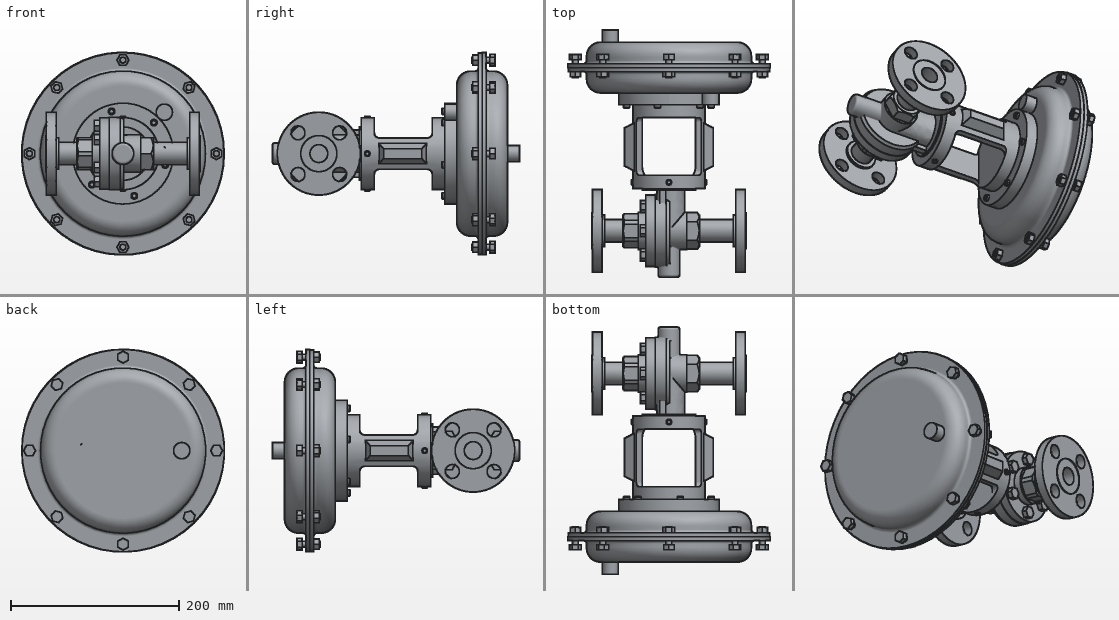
import cadquery as cq
import math


casing_mid_y = 194.2
casing_half_height = 30.3
casing_radius = 98.3
crown_radius = 17.0
rim_fillet = 3.5
rim_radius = 120.5
lower_rim_radius = 120.0
rim_thickness = 4.7
port_radius = 9.7
port_offset = 69.7
lower_port_angle = 45
upper_port_end_y = 239.0
overall_length = 294.3

casing_bolt_count = 8
casing_bolt_circle = 111.2
casing_bolt_flats = 12.5
shank_radius = 3.5
head_height = 6.2
head_gap = 4.7
nut_height = 6.5
tip_length = 1.0

plate_radius = 60.0
plate_bottom_y = 149.8
screw_count = 6
screw_circle = 52.0
first_screw_angle = 45
screw_radius = 3.8
screw_height = 3.8
screw_chamfer = 1.2

yoke_radius = 43.0
yoke_bottom_y = 50.3
window_top_y = 134.8
window_bottom_y = 66.2
window_half_width = 31.5
window_foot_half_width = 28.5
window_foot_height = 10.3
column_half_depth = 18.8
column_fillet = 5.5
pad_tip_x = 53.0
pad_base_x = 41.0
pad_mid_y = 99.8
pad_base_size = (57.7, 24.7)
pad_tip_size = (45.3, 11.8)
set_screw_y = 57.7
set_screw_radius = 3.2
set_screw_chamfer = 1.0
set_screw_tip = 44.7

collar_radius = 31.8
collar_bottom_y = 48.3
neck_half_width = 19.0
shoulder_right_x = -3.5
shoulder_corner_x = -10.5
shoulder_left_x = -14.5
shoulder_half_depth = 28.2
shoulder_left_half_depth = 22.5

body_radius = 43.3
cover_radius = 42.7
cover_left_x = -27.7
joint_x = -16.5
bevel_start_x = -3.0
body_right_x = 1.2
bevel_end_radius = 41.0
barrel_radius = 22.5
barrel_left_x = -36.5
barrel_right_x = 21.2
cover_bolt_count = 6
cover_bolt_circle = 33.3
first_cover_bolt_angle = 30
cover_bolt_flats = 12.7
cover_bolt_height = 6.2
stub_radius = 13.0
stub_end_y = upper_port_end_y - overall_length
stub_rounding = 3.2
stub_joint_fillet = 1.2
shoulder_joint_fillet = 1.2

nut_flats = 38.0
inlet_nut_corners = 41.0
inlet_nut_left_x = -54.7
outlet_nut_right_x = 36.5
nut_bevel_length = 3.0
nut_bevel_end_radius = 18.2

pipe_radius = 13.5
bore_radius = 10.5
hub_radius = 18.8
hub_start = 76.5
flange_start = 79.5
flange_end = 91.0
raised_face_end = 91.8
flange_radius = 49.5
raised_face_radius = 21.5
flange_hole_radius = 8.2
flange_hole_offset = 24.7

overlap = 3.0

CORNER_RADIUS_PER_FLATS = 1 / math.sqrt(3)


def x_cylinder(radius, start, end, y=0, z=0):
    solid = cq.Solid.makeCylinder(radius, end - start, cq.Vector(start, y, z), cq.Vector(1, 0, 0))
    return cq.Workplane(obj=solid)


def y_cylinder(radius, bottom, top, x=0, z=0):
    solid = cq.Solid.makeCylinder(radius, top - bottom, cq.Vector(x, bottom, z), cq.Vector(0, 1, 0))
    return cq.Workplane(obj=solid)


def hexagon(flats, start, length, corner_direction, axis):
    """Hexagonal prism on the line through start, with one corner along corner_direction."""
    plane = cq.Plane(origin=start, xDir=corner_direction, normal=axis)
    return cq.Workplane(plane).polygon(6, 2 * flats * CORNER_RADIUS_PER_FLATS).extrude(length)


def polar(radius, index, count, first_angle=0):
    """Place number index out of count evenly spaced on a circle; first_angle is in degrees."""
    angle = math.radians(first_angle) + 2 * math.pi * index / count
    return radius * math.cos(angle), radius * math.sin(angle)


def casing_shell(side, outer_radius):
    """Half of the casing above (side = 1) or below (side = -1) the rim joint."""
    def level(height):
        return casing_mid_y + side * height

    diagonal = math.sqrt(0.5)
    crown_flat = casing_radius - crown_radius
    crown_start = casing_half_height - crown_radius
    rim_top = rim_thickness + rim_fillet
    profile = (
        cq.Workplane("XY")
        .moveTo(0, level(0))
        .lineTo(outer_radius, level(0))
        .lineTo(outer_radius, level(rim_thickness))
        .lineTo(casing_radius + rim_fillet, level(rim_thickness))
        .threePointArc(
            (casing_radius + rim_fillet * (1 - diagonal), level(rim_top - rim_fillet * diagonal)),
            (casing_radius, level(rim_top)),
        )
        .lineTo(casing_radius, level(crown_start))
        .threePointArc(
            (crown_flat + crown_radius * diagonal, level(crown_start + crown_radius * diagonal)),
            (crown_flat, level(casing_half_height)),
        )
        .lineTo(0, level(casing_half_height))
        .close()
    )
    return profile.revolve(360, (0, 0, 0), (0, 1, 0))


def casing_bolt(x, z):
    """Bolt through the rim: head corner points outward, nut flat faces outward."""
    rim_top_y = casing_mid_y + rim_thickness
    rim_bottom_y = casing_mid_y - rim_thickness
    head_y = rim_top_y + head_gap
    nut_end_y = rim_bottom_y - nut_height
    outward = (x, 0, z)
    tangent = (-z, 0, x)
    shank = y_cylinder(shank_radius, nut_end_y - tip_length, head_y + head_height / 2, x, z)
    head = hexagon(casing_bolt_flats, (x, head_y, z), head_height, outward, (0, 1, 0))
    nut = hexagon(casing_bolt_flats, (x, rim_bottom_y, z), nut_height, tangent, (0, -1, 0))
    return shank.union(head).union(nut)


def actuator():
    casing_bottom_y = casing_mid_y - casing_half_height
    casing_top_y = casing_mid_y + casing_half_height
    body = casing_shell(1, rim_radius).union(casing_shell(-1, lower_rim_radius))
    for index in range(casing_bolt_count):
        body = body.union(casing_bolt(*polar(casing_bolt_circle, index, casing_bolt_count)))

    body = body.union(y_cylinder(port_radius, casing_top_y - overlap, upper_port_end_y, -port_offset))
    lower_port = polar(port_offset, 0, 1, lower_port_angle)
    body = body.union(y_cylinder(port_radius, plate_bottom_y, casing_bottom_y + overlap, *lower_port))

    body = body.union(y_cylinder(plate_radius, plate_bottom_y, casing_bottom_y + overlap))
    for index in range(screw_count):
        place = polar(screw_circle, index, screw_count, first_screw_angle)
        screw = y_cylinder(screw_radius, plate_bottom_y - screw_height, plate_bottom_y + overlap, *place)
        body = body.union(screw.faces("<Y").chamfer(screw_chamfer))
    return body


def yoke_pad(side):
    """Tapered pad on the outside of a yoke column."""
    base = cq.Plane(origin=(side * pad_base_x, pad_mid_y, 0), xDir=(0, 1, 0), normal=(side, 0, 0))
    return (
        cq.Workplane(base)
        .rect(*pad_base_size)
        .workplane(offset=pad_tip_x - pad_base_x)
        .rect(*pad_tip_size)
        .loft()
    )


def yoke():
    body = y_cylinder(yoke_radius, yoke_bottom_y, plate_bottom_y)

    foot_step = window_half_width - window_foot_half_width
    foot_radius = (window_foot_height ** 2 + foot_step ** 2) / (2 * foot_step)
    arc_rise = window_foot_height / 2
    arc_x = window_half_width - foot_radius + math.sqrt(foot_radius ** 2 - arc_rise ** 2)
    foot_top_y = window_bottom_y + window_foot_height
    window = (
        cq.Workplane("XY")
        .moveTo(-window_half_width, window_top_y)
        .lineTo(window_half_width, window_top_y)
        .lineTo(window_half_width, foot_top_y)
        .threePointArc((arc_x, foot_top_y - arc_rise), (window_foot_half_width, window_bottom_y))
        .lineTo(-window_foot_half_width, window_bottom_y)
        .threePointArc((-arc_x, foot_top_y - arc_rise), (-window_half_width, foot_top_y))
        .close()
        .extrude(yoke_radius, both=True)
    )
    body = body.cut(window)

    window_height = window_top_y - window_bottom_y
    window_mid_y = (window_top_y + window_bottom_y) / 2
    for side in (1, -1):
        opening = (
            cq.Workplane("XY")
            .box(2 * yoke_radius, window_height, yoke_radius)
            .faces(">Z" if side < 0 else "<Z")
            .edges("|X")
            .fillet(column_fillet)
            .translate((0, window_mid_y, side * (column_half_depth + yoke_radius / 2)))
        )
        body = body.cut(opening)
        body = body.union(yoke_pad(side))

    screw_pair = (
        x_cylinder(set_screw_radius, -set_screw_tip, set_screw_tip, set_screw_y)
        .faces("<X or >X")
        .chamfer(set_screw_chamfer)
    )
    body = body.union(screw_pair)
    return body.union(screw_pair.rotate((0, 0, 0), (0, 1, 0), 90))


def bonnet():
    """Collar with an elliptical neck, cut flat on its inlet side, and an angular shoulder."""
    body = y_cylinder(collar_radius, collar_bottom_y, yoke_bottom_y + overlap)
    neck = (
        cq.Workplane("XZ", origin=(0, collar_bottom_y, 0))
        .ellipse(neck_half_width, barrel_radius)
        .extrude(collar_bottom_y)
    )
    neck_trim = cq.Workplane("XY").box(neck_half_width, 2 * collar_bottom_y, 2 * barrel_radius)
    neck = neck.cut(neck_trim.translate((shoulder_left_x - neck_half_width / 2, 0, 0)))
    shoulder = (
        cq.Workplane("XZ", origin=(0, collar_bottom_y, 0))
        .polyline([
            (shoulder_right_x, shoulder_half_depth),
            (shoulder_corner_x, shoulder_half_depth),
            (shoulder_left_x, shoulder_left_half_depth),
            (shoulder_left_x, -shoulder_left_half_depth),
            (shoulder_corner_x, -shoulder_half_depth),
            (shoulder_right_x, -shoulder_half_depth),
        ])
        .close()
        .extrude(collar_bottom_y)
    )
    return body.union(neck).union(shoulder)


def valve_body():
    body = (
        cq.Workplane("XY")
        .polyline([
            (cover_left_x, 0),
            (cover_left_x, cover_radius),
            (joint_x, cover_radius),
            (joint_x, body_radius),
            (bevel_start_x, body_radius),
            (body_right_x, bevel_end_radius),
            (body_right_x, 0),
        ])
        .close()
        .revolve(360, (0, 0, 0), (1, 0, 0))
    )
    body = body.union(x_cylinder(barrel_radius, barrel_left_x, barrel_right_x))
    for index in range(cover_bolt_count):
        y, z = polar(cover_bolt_circle, index, cover_bolt_count, first_cover_bolt_angle)
        bolt = hexagon(cover_bolt_flats, (cover_left_x, y, z), cover_bolt_height, (0, 1, 0), (-1, 0, 0))
        body = body.union(bolt)
    stub = y_cylinder(stub_radius, stub_end_y, 0).faces("<Y").edges().fillet(stub_rounding)
    return body.union(stub)


def pipe_nut(inner_x, outer_x):
    """Hexagon nut, bevelled at its outer end."""
    side = math.copysign(1, outer_x)
    length = abs(outer_x - inner_x)
    corner_radius = nut_flats * CORNER_RADIUS_PER_FLATS
    nut_bevel_x = outer_x - side * nut_bevel_length
    envelope = (
        cq.Workplane("XY")
        .polyline([
            (inner_x, 0),
            (inner_x, corner_radius),
            (nut_bevel_x, corner_radius),
            (outer_x, nut_bevel_end_radius),
            (outer_x, 0),
        ])
        .close()
        .revolve(360, (0, 0, 0), (1, 0, 0))
    )
    return hexagon(nut_flats, (inner_x, 0, 0), length, (0, 1, 0), (side, 0, 0)).intersect(envelope)


def inlet_nut():
    """Pipe nut with its six corners cut flat."""
    length = barrel_left_x - inlet_nut_left_x
    corner_cut = hexagon(inlet_nut_corners, (barrel_left_x, 0, 0), length, (0, 0, 1), (-1, 0, 0))
    return pipe_nut(barrel_left_x, inlet_nut_left_x).intersect(corner_cut)


def pipe_with_flange(nut_x, turn):
    """Bored pipe stub and bolted flange, built toward +X and turned about Z into place."""
    pipe = x_cylinder(pipe_radius, nut_x, flange_end)
    pipe = pipe.union(x_cylinder(hub_radius, hub_start, flange_end))
    pipe = pipe.union(x_cylinder(flange_radius, flange_start, flange_end))
    pipe = pipe.union(x_cylinder(raised_face_radius, flange_start, raised_face_end))
    pipe = pipe.cut(x_cylinder(bore_radius, nut_x, raised_face_end))
    for y in (-flange_hole_offset, flange_hole_offset):
        for z in (-flange_hole_offset, flange_hole_offset):
            pipe = pipe.cut(x_cylinder(flange_hole_radius, hub_start, raised_face_end, y, z))
    return pipe.rotate((0, 0, 0), (0, 0, 1), turn)


def valve():
    """Body and bonnet with small fillets where the stub and the shoulder meet the body disc."""
    margin = 0.3
    shoulder_zone = cq.selectors.BoxSelector(
        (joint_x + margin, barrel_radius, -shoulder_half_depth - margin),
        (shoulder_right_x - margin, body_radius, shoulder_half_depth + margin),
    )
    stub_zone = cq.selectors.BoxSelector(
        (-stub_radius, -body_radius, -stub_radius),
        (stub_radius, -stub_radius, stub_radius),
    )
    body = valve_body().union(bonnet())
    body = body.edges(shoulder_zone - cq.selectors.ParallelDirSelector(cq.Vector(0, 1, 0)))
    body = body.fillet(shoulder_joint_fillet)
    return body.edges(stub_zone).fillet(stub_joint_fillet)


result = (
    actuator()
    .union(yoke())
    .union(valve())
    .union(inlet_nut())
    .union(pipe_nut(barrel_right_x, outlet_nut_right_x))
    .union(pipe_with_flange(-inlet_nut_left_x, 180))
    .union(pipe_with_flange(outlet_nut_right_x, 0))
)